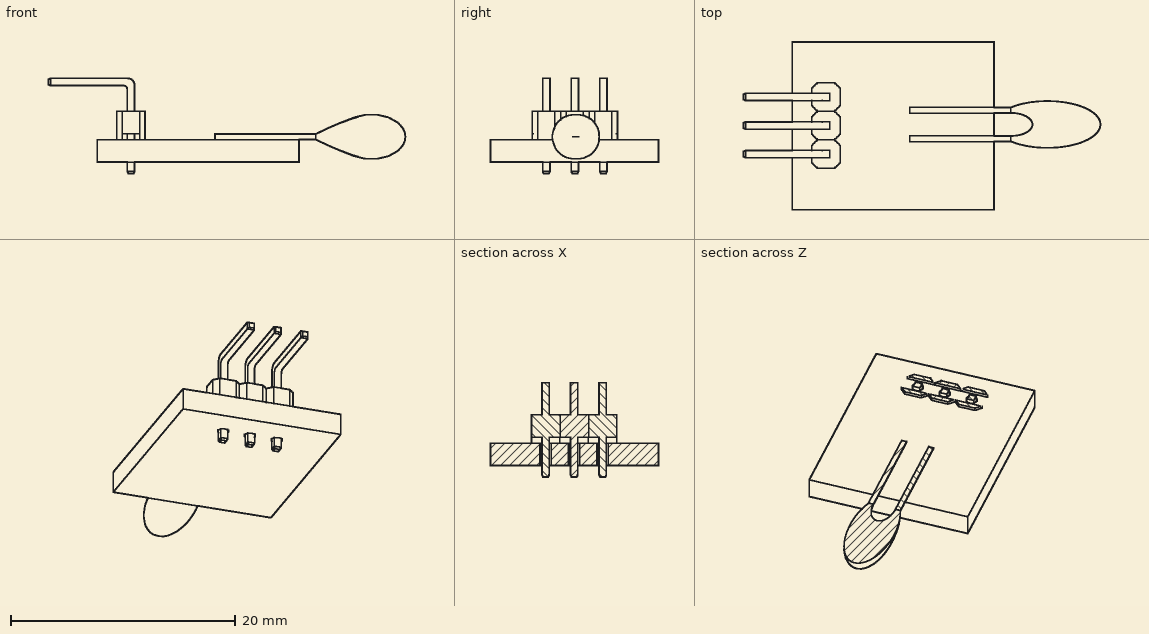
import cadquery as cq
import math


OVERALL_LENGTH = 31.83
OVERALL_HEIGHT = 8.5

BOARD_LENGTH = 18.0
BOARD_WIDTH = 15.0
BOARD_THICKNESS = 2.0
PIN_HOLE_DIAMETER = 1.0

HEADER_COUNT = 3
PITCH = 2.55
BLOCK_CHAMFER = 0.5
CHANNEL_HEIGHT = 0.5
CHANNEL_WIDTH = PITCH - 2 * BLOCK_CHAMFER
HEADER_EDGE_DISTANCE = 3.02
HEADER_X = HEADER_EDGE_DISTANCE - BOARD_LENGTH / 2
HEADER_Y = 0.03

PIN_SIZE = 0.67
PIN_TOP = 5.47
PIN_BOTTOM = PIN_TOP - OVERALL_HEIGHT
PIN_REACH = 7.35
PIN_OUTER_RADIUS = 0.65
PIN_INNER_RADIUS = 0.32
PIN_TIP_LENGTH = 0.2
PIN_TIP_INSET = 0.1

LEAD_DIAMETER = 0.5
LEAD_RADIUS = LEAD_DIAMETER / 2
LEAD_LENGTH = 9.0
LEAD_SPACING = PITCH
BEAD_LENGTH = 8.0
BEAD_WIDTH = 4.2
BEAD_HEIGHT = 4.0
NOTCH_DEPTH = 1.9
BEAD_STEPS = 40
SECTION_STEPS = 20
SURFACE_TOLERANCE = 0.001
SENSOR_Y = 0.13
BEAD_X = HEADER_X - PIN_REACH + OVERALL_LENGTH - BEAD_LENGTH

header_ys = [HEADER_Y + (i - (HEADER_COUNT - 1) / 2) * PITCH for i in range(HEADER_COUNT)]
lead_ys = [SENSOR_Y + side * LEAD_SPACING / 2 for side in (-1, 1)]


def make_board():
    """Flat board with a round clearance hole for each pin."""
    plate = cq.Workplane("XY").box(BOARD_LENGTH, BOARD_WIDTH, BOARD_THICKNESS, centered=(True, True, False))
    plate = plate.translate((0, 0, -BOARD_THICKNESS))
    return (
        plate.faces(">Z").workplane(origin=(0, 0, 0))
        .pushPoints([(HEADER_X, y) for y in header_ys])
        .hole(PIN_HOLE_DIAMETER)
    )


def make_block():
    """Eight-sided header block, standing on two feet beside a channel along Y."""
    block = cq.Workplane("XY").box(PITCH, PITCH, PITCH, centered=(True, True, False))
    block = block.edges("|Z").chamfer(BLOCK_CHAMFER)
    channel = cq.Workplane("XY").box(CHANNEL_WIDTH, PITCH, CHANNEL_HEIGHT, centered=(True, True, False))
    return block.cut(channel)


def make_pin_tip(base):
    """Tapered end of a pin, growing out of the base plane."""
    end_size = PIN_SIZE - 2 * PIN_TIP_INSET
    return (
        cq.Workplane(base).rect(PIN_SIZE, PIN_SIZE)
        .workplane(offset=PIN_TIP_LENGTH).rect(end_size, end_size)
        .loft(ruled=True)
    )


def make_pin():
    """Square pin bent from the vertical toward -X, with tapered tips."""
    half = PIN_SIZE / 2
    shank_bottom = PIN_BOTTOM + PIN_TIP_LENGTH
    shank_left = PIN_TIP_LENGTH - PIN_REACH
    shank = (
        cq.Workplane("XZ", origin=(0, half, 0))
        .moveTo(half, shank_bottom)
        .lineTo(half, PIN_TOP - PIN_OUTER_RADIUS)
        .radiusArc((half - PIN_OUTER_RADIUS, PIN_TOP), -PIN_OUTER_RADIUS)
        .lineTo(shank_left, PIN_TOP)
        .lineTo(shank_left, PIN_TOP - PIN_SIZE)
        .lineTo(-half - PIN_INNER_RADIUS, PIN_TOP - PIN_SIZE)
        .radiusArc((-half, PIN_TOP - PIN_SIZE - PIN_INNER_RADIUS), PIN_INNER_RADIUS)
        .lineTo(-half, shank_bottom)
        .close()
        .extrude(PIN_SIZE)
    )
    lower_tip = make_pin_tip(cq.Plane((0, 0, shank_bottom), (1, 0, 0), (0, 0, -1)))
    free_tip = make_pin_tip(cq.Plane((shank_left, 0, PIN_TOP - half), (0, 1, 0), (-1, 0, 0)))
    return shank.union(lower_tip).union(free_tip)


def make_header(y):
    """Header block and its pin as one solid."""
    return make_block().union(make_pin()).translate((HEADER_X, y, 0))


def make_lead(y):
    """Round lead resting on the board and ending at the bead."""
    start = (BEAD_X - LEAD_LENGTH, y, LEAD_RADIUS)
    return cq.Workplane("YZ", origin=start).circle(LEAD_RADIUS).extrude(LEAD_LENGTH)


def bead_point(u, angle):
    """Point on the bead; u runs from -1 at one lead to 1 at the other, angle around the section.

    Each section is an ellipse that spans from the notch curve to the outer curve,
    both of them ellipses in plan.
    """
    limb_outer = LEAD_SPACING / 2 + LEAD_RADIUS
    limb_inner = LEAD_SPACING / 2 - LEAD_RADIUS
    outer_half_width = BEAD_WIDTH / 2
    end_angle = math.pi - math.asin(limb_outer / outer_half_width)
    outer_half_length = BEAD_LENGTH / (1 - math.cos(end_angle))
    outer_center = BEAD_LENGTH - outer_half_length

    outer = cq.Vector(
        outer_center + outer_half_length * math.cos(end_angle * u),
        outer_half_width * math.sin(end_angle * u),
        0,
    )
    inner = cq.Vector(
        NOTCH_DEPTH * math.cos(math.pi / 2 * u),
        limb_inner * math.sin(math.pi / 2 * u),
        0,
    )
    half_height = LEAD_RADIUS + (BEAD_HEIGHT / 2 - LEAD_RADIUS) * math.cos(math.pi / 2 * u)
    middle = (outer + inner) * 0.5
    across = (outer - inner) * 0.5 * math.cos(angle)
    return middle + across + cq.Vector(0, 0, half_height * math.sin(angle))


def make_bead():
    """U-shaped bead that swells from each lead to its widest section in the middle."""
    upper = cq.Face.makeSplineApprox([
        [
            bead_point(2 * i / BEAD_STEPS - 1, math.pi * j / SECTION_STEPS)
            for j in range(SECTION_STEPS + 1)
        ]
        for i in range(BEAD_STEPS + 1)
    ], tol=SURFACE_TOLERANCE)
    lower = upper.mirror("XY")
    lead_ends = []
    for side in (-1, 1):
        rim = [
            edge for half in (upper, lower) for edge in half.Edges()
            if edge.Center().x < LEAD_RADIUS and edge.Center().y * side > 0
        ]
        lead_ends.append(cq.Face.makeFromWires(cq.Wire.assembleEdges(rim)))
    shell = cq.Shell.makeShell([upper, lower, *lead_ends])
    return cq.Solid.makeSolid(shell).translate(cq.Vector(BEAD_X, SENSOR_Y, LEAD_RADIUS))


board = make_board()
headers = [make_header(y) for y in header_ys]
leads = [make_lead(y) for y in lead_ys]
bead = make_bead()

result = cq.Compound.makeCompound([
    board.val(),
    *[header.val() for header in headers],
    *[lead.val() for lead in leads],
    bead,
])